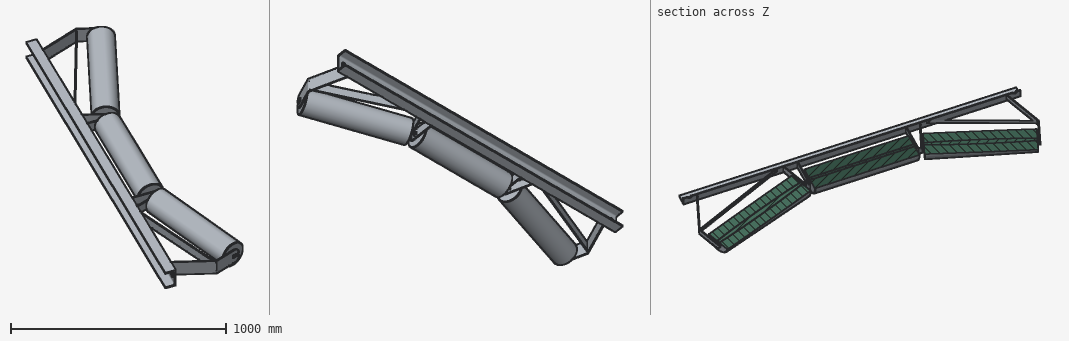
import cadquery as cq
import math


overall_length = 1715

channel_length = 1701.0
channel_depth = 53.0
channel_height = 100.0
channel_wall = 7.7
channel_root_radius = 9.0
mount_slot_width = 20.0
mount_slot_height = 36.0
mount_slot_inset = 31.0

plate = 6.0
outer_height = 79.0
inner_height = 51
strut_height = 51
weld_depth = channel_wall / 2
end_plate_reach = 140.0
end_plate_corner = 31.0
bend_inner_radius = 7.0
outer_bend_y = 202.0
strut_foot_x = 375.0
inner_bracket_top = 144.0

roller_diameter = 132.0
roller_length = 530.0
roller_edge = 3.0
plate_gap = 6.0
middle_roller_y = 115.0
middle_roller_z = -20.0
side_roller_x = 557.0
side_roller_y = 215.0
side_roller_z = -10.8
trough_angle = 20
forward_tilt = 2.2

shaft_diameter = 22.0
shaft_flats = 15.0
plate_offset = roller_length / 2 + plate_gap + plate / 2
shaft_length = 2 * plate_offset + plate
flat_length = plate_gap + plate

cos_trough = math.cos(math.radians(trough_angle))
sin_trough = math.sin(math.radians(trough_angle))
tan_trough = sin_trough / cos_trough

sheet_width = plate / cos_trough
bend_outer_radius = bend_inner_radius + plate
bend_trim = bend_outer_radius * (1 / cos_trough - 1)
outer_bend_x = overall_length / 2 + bend_trim - sheet_width / 2


def roller_plane(side):
    """Plane at a roller's centre: normal along its axis, local x away from the channel.

    side is -1 for the left roller, 0 for the middle one and 1 for the right one.
    """
    if side == 0:
        return cq.Plane((0, middle_roller_y, middle_roller_z), (0, 1, 0), (1, 0, 0))
    rise = math.tan(math.radians(forward_tilt))
    return cq.Plane(
        (side * side_roller_x, side_roller_y, side_roller_z),
        (-side * sin_trough, cos_trough, 0),
        (side * cos_trough, sin_trough, rise),
    )


def along_axis(side, length):
    """Workplane at one end of a length centred on a roller's axis, ready to extrude."""
    return cq.Workplane(roller_plane(side)).workplane(offset=-length / 2)


def make_shaft(side):
    journal_length = shaft_length - 2 * flat_length
    flat_bar = along_axis(side, shaft_length).rect(shaft_diameter, shaft_flats).extrude(shaft_length)
    journal = along_axis(side, journal_length).circle(shaft_diameter / 2).extrude(journal_length)
    round_bar = along_axis(side, shaft_length).circle(shaft_diameter / 2).extrude(shaft_length)
    return round_bar.intersect(flat_bar.union(journal))


def make_roller(side):
    return (
        along_axis(side, roller_length)
        .circle(roller_diameter / 2)
        .extrude(roller_length)
        .edges()
        .chamfer(roller_edge)
        .cut(along_axis(side, roller_length).circle(shaft_diameter / 2).extrude(roller_length))
    )


def outer_shaft_slot(side):
    """Open slot that lets a side shaft drop into the end plate of its outer bracket."""
    bottom = -shaft_diameter / 2
    slot_depth = roller_diameter / 2
    return (
        cq.Workplane(roller_plane(side))
        .workplane(offset=roller_length / 2)
        .center(bottom + slot_depth / 2, 0)
        .rect(slot_depth, shaft_flats)
        .extrude(plate_gap + 2 * plate)
    )


def make_channel():
    block = (
        cq.Workplane("XY")
        .box(channel_length, channel_depth, channel_height)
        .translate((0, -channel_depth / 2, 0))
    )
    cavity = (
        cq.Workplane("XY")
        .box(channel_length, channel_depth, channel_height - 2 * channel_wall)
        .edges("|X and >Y")
        .fillet(channel_root_radius)
        .translate((0, -channel_depth / 2 - channel_wall, 0))
    )
    slot_x = channel_length / 2 - mount_slot_inset
    mount_slots = (
        cq.Workplane("XZ")
        .pushPoints([(-slot_x, 0), (slot_x, 0)])
        .slot2D(mount_slot_height, mount_slot_width, 90)
        .extrude(channel_depth)
    )
    return block.cut(cavity).cut(mount_slots)


def strip(start, end, height):
    """Upright plate from start to end in XY."""
    run = end[0] - start[0]
    climb = end[1] - start[1]
    length = math.hypot(run, climb)
    angle = math.degrees(math.atan2(climb, run))
    return (
        cq.Workplane("XY")
        .box(length, plate, height)
        .translate((length / 2, 0, 0))
        .rotate((0, 0, 0), (0, 0, 1), angle)
        .translate((start[0], start[1], 0))
    )


def near(x, y):
    return cq.selectors.NearestToPointSelector((x, y, 0))


def bent_end_plate():
    """Right-hand leg and end plate in one bent sheet, each leaning at the trough angle."""
    outer_x = outer_bend_x + sheet_width / 2
    inner_x = outer_bend_x - sheet_width / 2
    foot_lean = (outer_bend_y + weld_depth) * tan_trough
    tip_x = outer_x - end_plate_reach * sin_trough
    tip_y = outer_bend_y + end_plate_reach * cos_trough
    outline = [
        (outer_x - foot_lean, -weld_depth),
        (outer_x, outer_bend_y),
        (tip_x, tip_y),
        (tip_x - plate * cos_trough, tip_y - plate * sin_trough),
        (inner_x, outer_bend_y),
        (inner_x - foot_lean, -weld_depth),
    ]
    sheet = (
        cq.Workplane("XY")
        .workplane(offset=-outer_height / 2)
        .polyline(outline)
        .close()
        .extrude(outer_height)
    )
    sheet = sheet.faces(">Y").edges("not |Z").edges(">Z or <Z").fillet(end_plate_corner)
    sheet = sheet.edges("|Z").edges(near(outer_x, outer_bend_y)).fillet(bend_outer_radius)
    return sheet.edges("|Z").edges(near(inner_x, outer_bend_y)).fillet(bend_inner_radius)


def outer_bracket():
    """Right-hand bracket: bent end plate and the diagonal strut behind it."""
    strut = strip((strut_foot_x, -weld_depth), (outer_bend_x, outer_bend_y), strut_height)
    return bent_end_plate().union(strut)


def inner_bracket():
    """Right-hand bracket that carries the facing ends of the middle and side rollers."""
    top_y = inner_bracket_top - plate / 2
    side_foot_x = side_roller_x - plate_offset / cos_trough + side_roller_y * tan_trough
    middle_foot = (plate_offset, -weld_depth)
    middle_top = (plate_offset, top_y)
    side_top = (side_foot_x - top_y * tan_trough, top_y)
    side_foot = (side_foot_x + weld_depth * tan_trough, -weld_depth)
    bracket = strip(middle_foot, middle_top, inner_height)
    bracket = bracket.union(strip(middle_top, side_top, inner_height))
    bracket = bracket.union(strip(side_top, side_foot, inner_height))
    for corner in (middle_top, side_top):
        bend = cq.Workplane("XY").center(*corner).circle(plate / 2).extrude(inner_height / 2, both=True)
        bracket = bracket.union(bend)
    return bracket.translate((0, 0, middle_roller_z))


def make_frame(shafts):
    """Channel and brackets in one piece, cut to take the shafts."""
    right_half = outer_bracket().union(inner_bracket())
    frame = make_channel().union(right_half).union(right_half.mirror("YZ"))
    for side in (-1, 1):
        frame = frame.cut(outer_shaft_slot(side))
    for shaft in shafts:
        frame = frame.cut(shaft)
    return frame


sides = (-1, 0, 1)
rollers = [make_roller(side) for side in sides]
shafts = [make_shaft(side) for side in sides]
frame = make_frame(shafts)
bodies = [frame, *rollers, *shafts]
result = cq.Compound.makeCompound([body.val() for body in bodies])